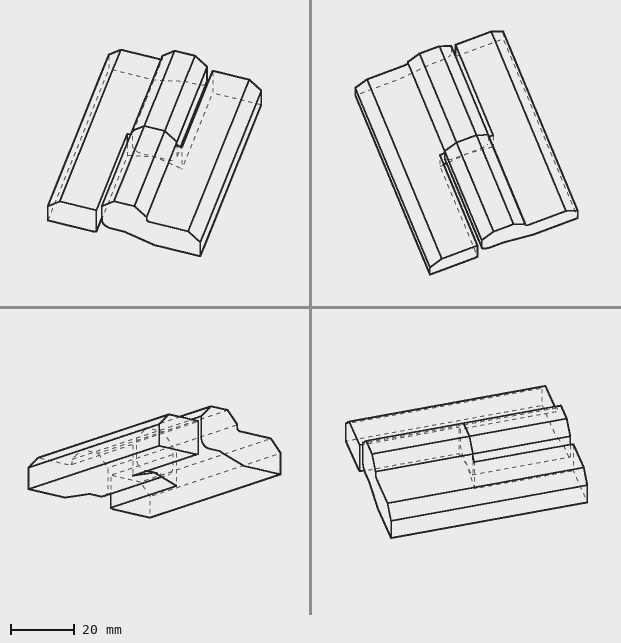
import cadquery as cq

HINGE_WIDTH = 50.0
HINGE_LENGTH = 64.5
LEAF_LENGTH = 64.0
LEAF_THICKNESS = 11.0
EDGE_CHAMFER = 4.0

KNUCKLE_HALF_WIDTH = 7.35
KNUCKLE_TOP = 17.0
KNUCKLE_BOTTOM = 3.0
KNUCKLE_CORNER_RADIUS = 3.1
KNUCKLE_ROOT_RADIUS = 0.95

SLOPE_START = 10.0
RELIEF_GAP = 1.6

HALF_WIDTH = HINGE_WIDTH / 2
LEAF_BACK = HINGE_LENGTH / 2
LEAF_FRONT = LEAF_BACK - LEAF_LENGTH
LEAF_MIDDLE = (LEAF_FRONT + LEAF_BACK) / 2
RELIEF_EDGE = KNUCKLE_HALF_WIDTH + RELIEF_GAP


def extruded_leaf():
    """Leaf plate and knuckle as one profile, extruded over the full leaf length."""
    profile = (
        cq.Sketch()
        .polygon(
            [
                (HALF_WIDTH, 0),
                (HALF_WIDTH, LEAF_THICKNESS - EDGE_CHAMFER),
                (HALF_WIDTH - EDGE_CHAMFER, LEAF_THICKNESS),
                (KNUCKLE_HALF_WIDTH, LEAF_THICKNESS),
                (KNUCKLE_HALF_WIDTH, KNUCKLE_TOP - EDGE_CHAMFER),
                (KNUCKLE_HALF_WIDTH - EDGE_CHAMFER, KNUCKLE_TOP),
                (EDGE_CHAMFER - KNUCKLE_HALF_WIDTH, KNUCKLE_TOP),
                (-KNUCKLE_HALF_WIDTH, KNUCKLE_TOP - EDGE_CHAMFER),
                (-KNUCKLE_HALF_WIDTH, KNUCKLE_BOTTOM),
                (0, KNUCKLE_BOTTOM),
                (SLOPE_START, 0),
                (HALF_WIDTH, 0),
            ]
        )
    )
    return (
        cq.Workplane("XZ", origin=(0, LEAF_BACK, 0))
        .placeSketch(profile)
        .extrude(LEAF_LENGTH)
    )


def round_knuckle(leaf):
    """Round the knuckle's lower free corner and fill its root on top of the plate."""
    lower_corner = cq.selectors.NearestToPointSelector(
        (-KNUCKLE_HALF_WIDTH, LEAF_MIDDLE, KNUCKLE_BOTTOM)
    )
    root = cq.selectors.NearestToPointSelector(
        (KNUCKLE_HALF_WIDTH, LEAF_MIDDLE, LEAF_THICKNESS)
    )
    leaf = leaf.edges(lower_corner).fillet(KNUCKLE_CORNER_RADIUS)
    return leaf.edges(root).fillet(KNUCKLE_ROOT_RADIUS)


def cut_relief(leaf):
    """Remove the knuckle behind Y = 0 to make room for the other leaf's knuckle."""
    relief = cq.Workplane("XY").box(
        RELIEF_EDGE + KNUCKLE_HALF_WIDTH, LEAF_BACK, KNUCKLE_TOP, centered=False
    )
    return leaf.cut(relief.translate((-KNUCKLE_HALF_WIDTH, 0, 0)))


def hinge_leaf(turn_angle):
    """One complete leaf, turned about the vertical axis through the hinge centre."""
    leaf = cut_relief(round_knuckle(extruded_leaf()))
    return leaf.rotate((0, 0, 0), (0, 0, 1), turn_angle)


leaves = [hinge_leaf(turn_angle) for turn_angle in (0, 180)]

result = cq.Compound.makeCompound([leaf.val() for leaf in leaves])